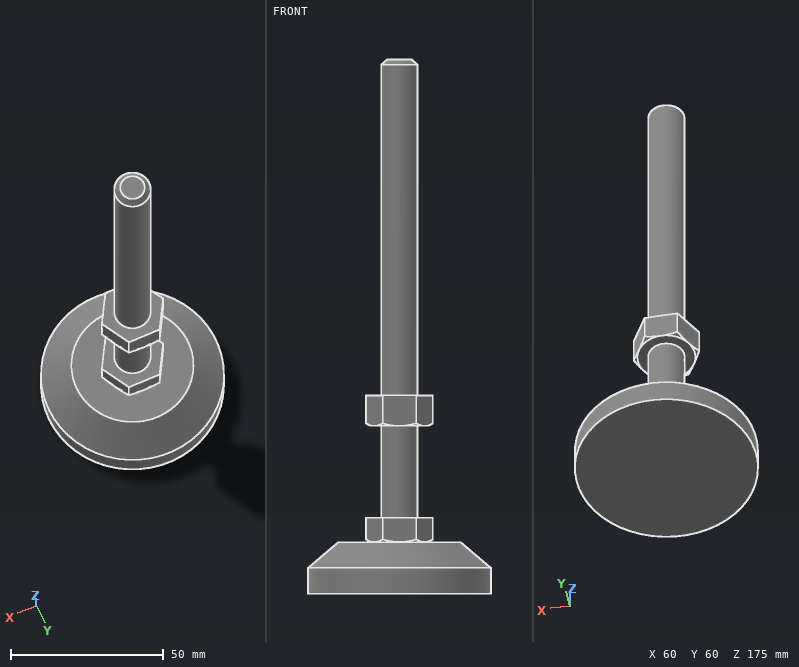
import cadquery as cq
import math

total_height = 175.0

pad_diameter = 60.0
pad_top_diameter = 40.0
pad_height = 17.0

stud_diameter = 12.0
stud_tip_diameter = 8.0
stud_tip_height = 1.75

hex_sides = 6
hex_across_flats = 19.0
hex_chamfer_angle = 30.0
stud_hex_height = 8.0

nut_height = 10.0
nut_base_z = 55.0

pad_rim_height = pad_height / 2
hex_across_corners = hex_across_flats / math.cos(math.pi / hex_sides)
hex_chamfer_width = (hex_across_corners - hex_across_flats) / 2
hex_chamfer_height = hex_chamfer_width * math.tan(math.radians(hex_chamfer_angle))


def revolve_profile(points):
    """Turn a closed radius-height outline around the Z axis."""
    return cq.Workplane("XZ").polyline(points).close().revolve(360, (0, 0), (0, 1))


def make_hex(height, base_z):
    """Hexagon with corners on X and its lower corners turned off by a cone."""
    prism = (
        cq.Workplane("XY")
        .workplane(offset=base_z)
        .polygon(hex_sides, hex_across_corners)
        .extrude(height)
    )
    corner_radius = hex_across_corners / 2
    turned_envelope = revolve_profile([
        (0, base_z),
        (hex_across_flats / 2, base_z),
        (corner_radius, base_z + hex_chamfer_height),
        (corner_radius, base_z + height),
        (0, base_z + height),
    ])
    return prism.intersect(turned_envelope)


def make_pad():
    """Round foot pad: a cylindrical rim below a cone with a flat top."""
    return revolve_profile([
        (0, 0),
        (pad_diameter / 2, 0),
        (pad_diameter / 2, pad_rim_height),
        (pad_top_diameter / 2, pad_height),
        (0, pad_height),
    ])


def make_stud():
    """Stud with a tapered tip and a fixed hexagon resting on the pad."""
    shank = revolve_profile([
        (0, pad_height),
        (stud_diameter / 2, pad_height),
        (stud_diameter / 2, total_height - stud_tip_height),
        (stud_tip_diameter / 2, total_height),
        (0, total_height),
    ])
    return shank.union(make_hex(stud_hex_height, pad_height))


def make_lock_nut():
    """Loose hexagon nut around the stud."""
    bore = (
        cq.Workplane("XY")
        .workplane(offset=nut_base_z)
        .circle(stud_diameter / 2)
        .extrude(nut_height)
    )
    return make_hex(nut_height, nut_base_z).cut(bore)


pad = make_pad()
stud = make_stud()
lock_nut = make_lock_nut()

result = cq.Compound.makeCompound([pad.val(), stud.val(), lock_nut.val()])